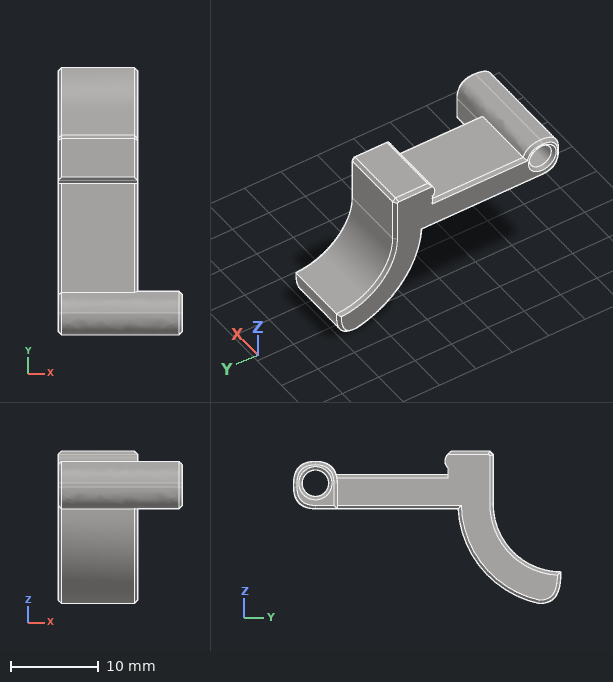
import cadquery as cq
import math

total_length = 30.55
total_height = 17.45
body_width = 9.1
barrel_length = 14.2
chamfer = 0.4

barrel_radius = 2.5
barrel_bottom = -2.93
hole_diameter = 3.0
corner_fullness = 0.65

arm_top = 1.0
arm_bottom = barrel_bottom
head_top = 3.7
head_front = 15.12
head_back = 20.3
nose_reach = 0.35
nose_top = head_top - chamfer
nose_middle = 2.55
nose_bottom = 1.75

hook_front = 16.28
tip_y = total_length - barrel_radius
hook_bottom = head_top - total_height
inner_radius = tip_y - head_back
inner_end_z = -10.1
inner_center_z = inner_end_z + inner_radius
outer_mid = (18.7, -9.4)
outer_end = (25.53, hook_bottom)
tip_handles = [(tip_y, -12.67), (27.33, hook_bottom)]


def side_profile():
    """Workplane whose local axes are Y and Z, extruding toward +X."""
    return cq.Workplane("YZ")


def make_body():
    """Arm, head and hook in one outline, with chamfered side edges."""
    diagonal = inner_radius * math.sqrt(0.5)
    inner_mid = (tip_y - diagonal, inner_center_z - diagonal)
    body = (
        side_profile()
        .moveTo(0, arm_bottom)
        .lineTo(hook_front, arm_bottom)
        .threePointArc(outer_mid, outer_end)
        .bezier([tip_handles[1], tip_handles[0], (tip_y, inner_end_z)], includeCurrent=True)
        .threePointArc(inner_mid, (head_back, inner_center_z))
        .lineTo(head_back, head_top - chamfer)
        .lineTo(head_back - chamfer, head_top)
        .lineTo(head_front + chamfer, head_top)
        .lineTo(head_front, nose_top)
        .threePointArc((head_front - nose_reach, nose_middle), (head_front, nose_bottom))
        .lineTo(head_front, arm_top)
        .lineTo(0, arm_top)
        .close()
        .extrude(body_width)
    )
    margin = 0.3
    nose_and_wall = cq.selectors.BoxSelector(
        (-margin, head_front - nose_reach - margin, arm_top),
        (body_width + margin, head_front + chamfer, head_top),
    )
    arm_end = cq.selectors.BoxSelector(
        (-margin, -margin, arm_bottom),
        (body_width + margin, margin, arm_top),
    )
    side_edges = body.faces("<X or >X").edges()
    sharp_edges = side_edges.edges(nose_and_wall + arm_end).vals()
    chamfered_edges = [
        edge for edge in side_edges.vals()
        if not any(edge.isSame(sharp) for sharp in sharp_edges)
    ]
    return side_edges.newObject(chamfered_edges).chamfer(chamfer)


def make_barrel():
    """Barrel with three full rounded corners and a square one under the arm."""
    reach = barrel_radius * corner_fullness
    low_corner_z = barrel_bottom + barrel_radius
    return (
        side_profile()
        .moveTo(barrel_radius, barrel_bottom)
        .lineTo(0, barrel_bottom)
        .bezier(
            [(-reach, barrel_bottom), (-barrel_radius, low_corner_z - reach),
             (-barrel_radius, low_corner_z)],
            includeCurrent=True,
        )
        .lineTo(-barrel_radius, 0)
        .bezier(
            [(-barrel_radius, reach), (-reach, barrel_radius),
             (0, barrel_radius)],
            includeCurrent=True,
        )
        .bezier(
            [(reach, barrel_radius), (barrel_radius, reach),
             (barrel_radius, 0)],
            includeCurrent=True,
        )
        .close()
        .extrude(barrel_length)
        .faces("<X or >X")
        .chamfer(chamfer)
    )


def make_hole():
    """Through hole with a chamfered mouth at each end."""
    hole_radius = hole_diameter / 2
    mouth_radius = hole_radius + chamfer
    return (
        cq.Workplane("XY")
        .polyline([
            (0, 0),
            (0, mouth_radius),
            (chamfer, hole_radius),
            (barrel_length - chamfer, hole_radius),
            (barrel_length, mouth_radius),
            (barrel_length, 0),
        ])
        .close()
        .revolve(360, (0, 0, 0), (1, 0, 0))
    )


result = make_body().union(make_barrel()).cut(make_hole())